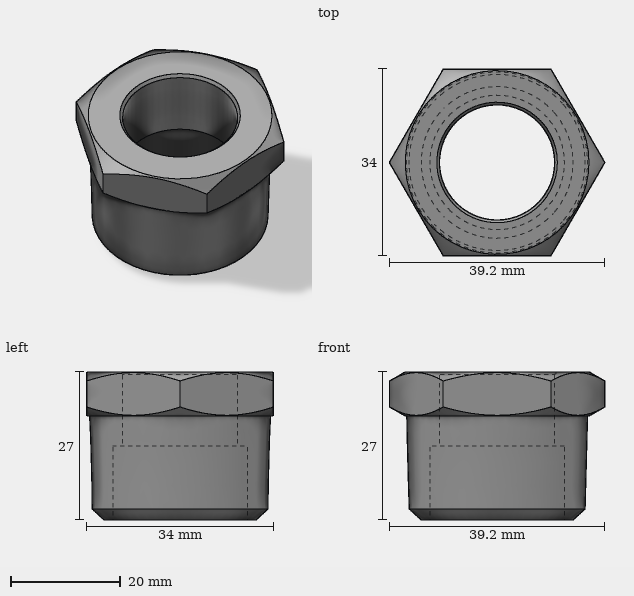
import cadquery as cq
import math

across_corners = 39.25
height = 27.0
hex_height = 8.1
hex_bottom = height - hex_height

chamfer_circle = 33.45
chamfer_angle = 30.0

shank_top_diameter = 32.98
shank_end_diameter = 32.08
tip_diameter = 27.65
tip_height = 2.05

bore_diameter = 20.93
bore_chamfer = 0.5
lower_bore_diameter = 24.5
lower_bore_depth = height / 2


def revolve_profile(points):
    """Revolve (radius, z) points about the Z axis."""
    return cq.Workplane("XZ").polyline(points).close().revolve(360, (0, 0), (0, 1))


def make_hex_head():
    """Hexagon with its corners on X, turned conical on both faces."""
    corner_radius = across_corners / 2
    face_radius = chamfer_circle / 2
    drop = (corner_radius - face_radius) * math.tan(math.radians(chamfer_angle))
    prism = (
        cq.Workplane("XY")
        .workplane(offset=hex_bottom)
        .polygon(6, across_corners)
        .extrude(hex_height)
    )
    envelope = revolve_profile([
        (0, hex_bottom),
        (face_radius, hex_bottom),
        (corner_radius, hex_bottom + drop),
        (corner_radius, height - drop),
        (face_radius, height),
        (0, height),
    ])
    return prism.intersect(envelope)


def make_shank():
    """Tapered shank with a conical tip."""
    return revolve_profile([
        (0, 0),
        (tip_diameter / 2, 0),
        (shank_end_diameter / 2, tip_height),
        (shank_top_diameter / 2, hex_bottom),
        (0, hex_bottom),
    ])


def make_bore():
    """Through bore, chamfered at the top and widened from below."""
    bore_radius = bore_diameter / 2
    lower_radius = lower_bore_diameter / 2
    return revolve_profile([
        (0, 0),
        (lower_radius, 0),
        (lower_radius, lower_bore_depth),
        (bore_radius, lower_bore_depth),
        (bore_radius, height - bore_chamfer),
        (bore_radius + bore_chamfer, height),
        (0, height),
    ])


result = make_hex_head().union(make_shank()).cut(make_bore())